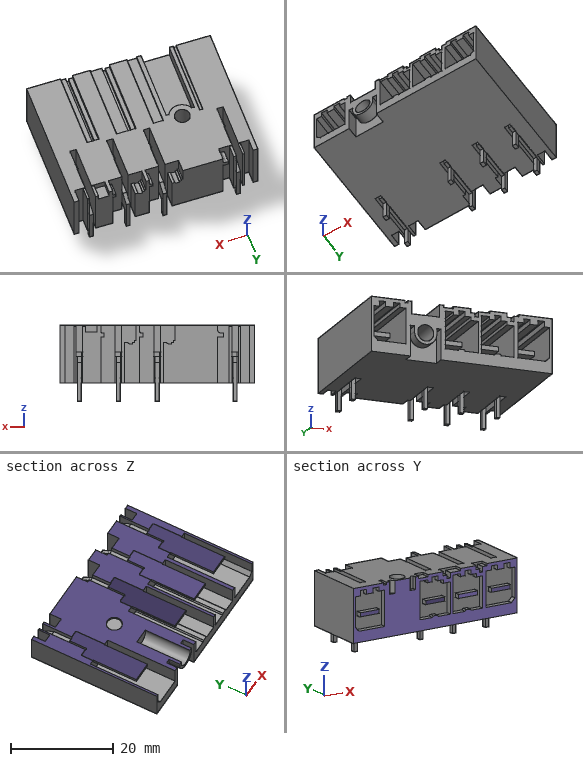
import cadquery as cq
import math


pitch = 7.62
positions = 5
width = positions * pitch
depth = 28.3
height = 11.35

pole_centers = [pitch * (i + 0.5) for i in (0, 2, 3, 4)]
flange_x = pitch * 1.5

pocket_depth = 15.2
pocket_floor = 2.4
tooth_top = 10.6
rib_bottom = 9.62
outer_roof = 9.47
inner_roof = 9.76
shoulder_high = 10.18
shoulder_low = 8.9
pocket_chamfer = 0.83
bump_height = 0.28
bump_half_base = 0.75
bump_half_top = 0.5

groove_length = 15.86
shallow_groove = 0.45
middle_groove = 0.83
deep_groove = 1.56
first_key = (21.8, 22.5)
second_key = (29.42, 30.0)
top_grooves = [
    (7.07, 7.68, shallow_groove),
    (15.27, 17.27, shallow_groove),
    (20.93, first_key[0], middle_groove),
    (*first_key, deep_groove),
    (first_key[1], 24.92, shallow_groove),
    (28.58, second_key[0], middle_groove),
    (*second_key, deep_groove),
    (second_key[1], 31.03, shallow_groove),
]

top_recess_width = 5.85
top_recess_length = 14.9
top_recess_floor = 8.77
nut_boss_radius = 2.65
nut_hole_radius = 1.53
nut_hole_y = 16.1
nut_hole_depth = 6.0
front_recess_width = 6.4
front_recess_height = 6.35
front_recess_depth = 2.4
screw_z = 5.17
screw_boss_radius = 2.35
screw_hole_radius = 1.68
screw_hole_depth = 10.0

slot_width = 1.29
slot_front = 16.7
rear_wall_y = 25.75
side_wall = 1.0
thin_fin = 0.43
wide_fin = 0.57
flange_block = (7.23, 15.58)
middle_fin = (first_key[1], 23.2)
last_fin = (30.1, 30.87)
saddle_floor = 10.0
slot_fin_top = 11.08

tab_bottom = 9.05
tab_top = 9.85
rear_tabs = [
    (6.1, 6.66, flange_block[0]),
    (first_key[0], 22.23, middle_fin[0]),
    (29.44, 29.9, last_fin[0]),
]

hook_top = 8.0
hook_step = 0.4
hook_upper_step = 0.3
hook_lower_step = 0.4
hollow_radius = 1.0
hollow_fall = 0.22
hollow_rise = 0.78
lip_width = 0.55

blade_width = 4.48
blade_bottom = 5.19
blade_top = 6.12
blade_front = 5.5
blade_shoulder = 17.8
blade_rear = 21.65
plate_thickness = 0.8
plate_bottom = 1.0
plate_rear = 27.65
plate_slope_start = 25.6
plate_slope_drop = 1.1
tail_width = 1.0
tail_length = 3.55
front_tail_y = 19.15


def box(x0, x1, y0, y1, z0, z1):
    return cq.Workplane("XY").box(x1 - x0, y1 - y0, z1 - z0, centered=False).translate((x0, y0, z0))


def prism(points, y0, y1):
    """Extrude an X-Z outline from y0 to y1."""
    return cq.Workplane("XZ", origin=(0, y0, 0)).polyline(points).close().extrude(y0 - y1)


def cylinder_along_y(x, z, radius, length):
    return cq.Workplane("XZ", origin=(x, 0, z)).circle(radius).extrude(-length)


def end_pocket():
    """Pocket of the first pole, with a chamfered outer bottom corner."""
    left = 0.57
    first_tooth = (1.7, 3.01)
    second_tooth = (4.67, 5.96)
    right = 7.23
    return prism([
        (left + pocket_chamfer, pocket_floor),
        (right, pocket_floor),
        (right, inner_roof),
        (second_tooth[1], inner_roof),
        (second_tooth[1], tooth_top),
        (second_tooth[0], tooth_top),
        (second_tooth[0], rib_bottom),
        (first_tooth[1], rib_bottom),
        (first_tooth[1], tooth_top),
        (first_tooth[0], tooth_top),
        (first_tooth[0], outer_roof),
        (left, outer_roof),
        (left, pocket_floor + pocket_chamfer),
    ], 0, pocket_depth)


def middle_pocket(center, right):
    """Pocket with one coding groove, stepped shoulders and a raised bump on its floor."""
    left = center - 3.49
    shoulder_left = center - 1.78
    shoulder_right = center + 1.88
    tooth_half = 0.64
    bump_top = pocket_floor + bump_height
    return prism([
        (left, pocket_floor),
        (center - bump_half_base, pocket_floor),
        (center - bump_half_top, bump_top),
        (center + bump_half_top, bump_top),
        (center + bump_half_base, pocket_floor),
        (right, pocket_floor),
        (right, shoulder_low),
        (shoulder_right, shoulder_low),
        (shoulder_right, rib_bottom),
        (center + tooth_half, rib_bottom),
        (center + tooth_half, tooth_top),
        (center - tooth_half, tooth_top),
        (center - tooth_half, rib_bottom),
        (shoulder_left, rib_bottom),
        (shoulder_left, shoulder_high),
        (left, shoulder_high),
    ], 0, pocket_depth)


def cut_pockets(body):
    first = end_pocket()
    last = first.mirror("YZ").translate((width, 0, 0))
    body = body.cut(first).cut(last)
    body = body.cut(middle_pocket(pole_centers[1], first_key[1]))
    return body.cut(middle_pocket(pole_centers[2], second_key[1]))


def cut_top_grooves(body):
    for start, end, groove_depth in top_grooves:
        body = body.cut(box(start, end, 0, groove_length, height - groove_depth, height))
    return body


def cut_screw_flange(body):
    half = top_recess_width / 2
    recess = box(flange_x - half, flange_x + half, 0, top_recess_length, top_recess_floor, height)
    nut_axis = cq.Workplane("XY", origin=(flange_x, nut_hole_y, top_recess_floor))
    recess = recess.cut(nut_axis.circle(nut_boss_radius).extrude(height - top_recess_floor))
    body = body.cut(recess)

    nut_hole = cq.Workplane("XY", origin=(flange_x, nut_hole_y, height)).circle(nut_hole_radius)
    body = body.cut(nut_hole.extrude(-nut_hole_depth))

    half = front_recess_width / 2
    recess = box(flange_x - half, flange_x + half, 0, front_recess_depth, 0, front_recess_height)
    recess = recess.cut(cylinder_along_y(flange_x, screw_z, screw_boss_radius, front_recess_depth))
    recess = recess.cut(box(flange_x - screw_boss_radius, flange_x + screw_boss_radius,
                            0, front_recess_depth, screw_z, front_recess_height))
    body = body.cut(recess)
    return body.cut(cylinder_along_y(flange_x, screw_z, screw_hole_radius, screw_hole_depth))


def rear_tab(start, flat_end, root):
    """Small tab on the left of a fin, blended into the fin by a concave round."""
    radius = root - flat_end
    mid = radius * math.sqrt(0.5)
    return (
        cq.Workplane("XZ", origin=(0, rear_wall_y, 0))
        .moveTo(start, tab_bottom)
        .lineTo(root, tab_bottom)
        .lineTo(root, tab_top + radius)
        .threePointArc((flat_end + mid, tab_top + radius - mid), (flat_end, tab_top))
        .lineTo(start, tab_top)
        .close()
        .extrude(rear_wall_y - depth)
    )


def rear_hook(root):
    """Stepped hook on the right of a fin, with a round hollow behind its lip."""
    step_x = root + hook_upper_step
    hollow_x = step_x + hook_lower_step
    lowest_x = hollow_x + hollow_fall
    lip_x = lowest_x + hollow_rise
    end_x = lip_x + lip_width
    center_z = hook_top + math.sqrt(hollow_radius ** 2 - hollow_rise ** 2)
    hollow_start = center_z - math.sqrt(hollow_radius ** 2 - hollow_fall ** 2)
    return (
        cq.Workplane("XZ", origin=(0, rear_wall_y, 0))
        .moveTo(root, 0)
        .lineTo(end_x, 0)
        .lineTo(end_x, hook_top)
        .lineTo(lip_x, hook_top)
        .threePointArc((lowest_x, center_z - hollow_radius), (hollow_x, hollow_start))
        .lineTo(hollow_x, hook_top)
        .lineTo(step_x, hook_top)
        .lineTo(step_x, hook_top + hook_step)
        .lineTo(root, hook_top + hook_step)
        .close()
        .extrude(rear_wall_y - depth)
    )


def add_rear_features(body):
    first_slot = pole_centers[0]
    last_slot = pole_centers[-1]
    half = slot_width / 2
    full_height_fins = [(0, side_wall), flange_block, middle_fin, last_fin, (width - side_wall, width)]
    for start, end in full_height_fins:
        body = body.union(box(start, end, rear_wall_y, depth, 0, height))

    slot_fins = [
        (first_slot - half - thin_fin, first_slot - half),
        (first_slot + half, first_slot + half + wide_fin),
        (last_slot - half - wide_fin, last_slot - half),
        (last_slot + half, last_slot + half + thin_fin),
    ]
    for start, end in slot_fins:
        body = body.union(box(start, end, rear_wall_y, depth, 0, slot_fin_top))

    body = body.union(box(last_fin[1], last_slot - half - wide_fin, rear_wall_y, depth, 0, saddle_floor))

    for start, flat_end, root in rear_tabs:
        body = body.union(rear_tab(start, flat_end, root))
    for root in (flange_block[1], middle_fin[1]):
        body = body.union(rear_hook(root))
    return body


def cut_contact_slots(body):
    for center in pole_centers:
        half = slot_width / 2
        body = body.cut(box(center - half, center + half, slot_front, rear_wall_y, 0, height))
    return body


def make_contact(center):
    """Flat blade folded along one edge into an upright plate with two solder tails."""
    half_plate = plate_thickness / 2
    left = center - half_plate
    right = center + half_plate
    blade_left = center - blade_width / 2
    blade_right = center + blade_width / 2

    blade = box(blade_left, blade_right, blade_front, blade_shoulder, blade_bottom, blade_top)
    tongue = box(left, blade_right, blade_shoulder, blade_rear, blade_bottom, blade_top)

    plate = (
        cq.Workplane("YZ", origin=(left, 0, 0))
        .moveTo(blade_shoulder, plate_bottom)
        .lineTo(plate_rear, plate_bottom)
        .lineTo(plate_rear, blade_bottom - plate_slope_drop)
        .lineTo(plate_slope_start, blade_bottom)
        .lineTo(blade_shoulder, blade_bottom)
        .close()
        .extrude(plate_thickness)
    )
    contact = blade.union(tongue).union(plate)
    for tail_y in (front_tail_y, plate_rear - tail_width):
        contact = contact.union(box(left, right, tail_y, tail_y + tail_width, -tail_length, plate_bottom))
    return contact


def make_housing(contacts):
    body = box(0, width, 0, rear_wall_y, 0, height)
    body = cut_pockets(body)
    body = cut_top_grooves(body)
    body = cut_screw_flange(body)
    body = cut_contact_slots(body)
    body = add_rear_features(body)
    for contact in contacts:
        body = body.cut(contact)
    return body


contacts = [make_contact(center) for center in pole_centers]
housing = make_housing(contacts)

result = cq.Compound.makeCompound([housing.val(), *[contact.val() for contact in contacts]])